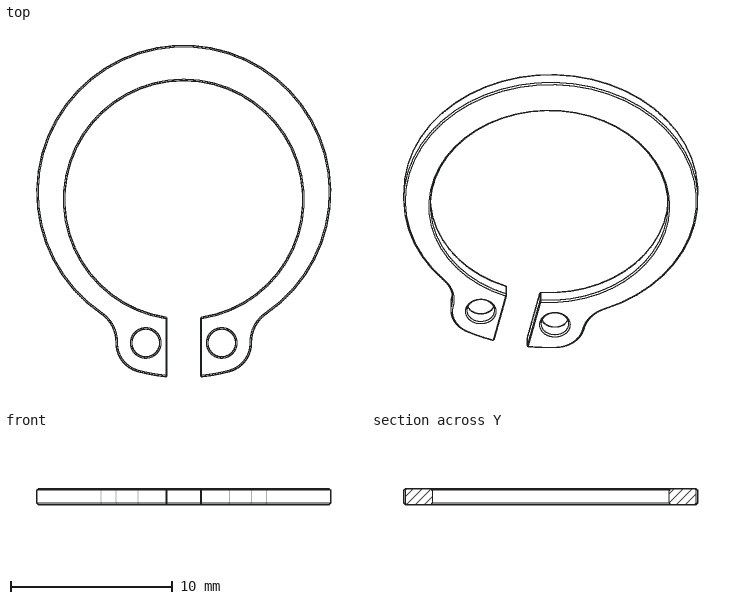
import cadquery as cq
import math

thickness = 1.0
bore_radius = 14.7 / 2
rim_radius = 18.2 / 2
widest_band = 2.2
rim_centre_y = bore_radius + widest_band - rim_radius

gap_width = 2.1
lug_tip_radius = 11.025
hole_diameter = 1.7
hole_x = 2.35
lug_corner_radius = 1.85
neck_radius = 2.1
hole_orbit_radius = lug_tip_radius - lug_corner_radius
hole_y = -math.sqrt(hole_orbit_radius**2 - hole_x**2)

edge_chamfer = 0.1
gap_edge_chamfer = 0.06


def point_towards(start, target, distance):
    """Point at a given distance from start on the line to target."""
    fraction = distance / math.dist(start, target)
    return (
        start[0] + fraction * (target[0] - start[0]),
        start[1] + fraction * (target[1] - start[1]),
    )


def neck_centre(rim_centre, lug_centre):
    """Centre of the concave neck arc that touches both the rim and the lug corner."""
    to_rim = rim_radius + neck_radius
    to_lug = lug_corner_radius + neck_radius
    span = math.dist(rim_centre, lug_centre)
    along = (to_rim**2 - to_lug**2 + span**2) / (2 * span)
    across = math.sqrt(to_rim**2 - along**2)
    foot_x, foot_y = point_towards(rim_centre, lug_centre, along)
    unit_x = (lug_centre[0] - rim_centre[0]) / span
    unit_y = (lug_centre[1] - rim_centre[1]) / span
    return (foot_x - across * unit_y, foot_y + across * unit_x)


def point_below(radius, x):
    """Point at the given x on the lower half of a circle about the origin."""
    return (x, -math.sqrt(radius**2 - x**2))


def mirrored(point):
    return (-point[0], point[1])


def arc_middle(centre, radius, start, end):
    """Middle of the shorter arc between two points of a circle."""
    chord_middle = ((start[0] + end[0]) / 2, (start[1] + end[1]) / 2)
    return point_towards(centre, chord_middle, radius)


def ring_outline():
    """Closed outline, from the right end of the bore round both lugs and the rim."""
    origin = (0, 0)
    rim_centre = (0, rim_centre_y)
    lug_centre = (hole_x, hole_y)
    neck = neck_centre(rim_centre, lug_centre)

    bore_end = point_below(bore_radius, gap_width / 2)
    lug_tip = point_below(lug_tip_radius, gap_width / 2)
    corner_start = point_towards(origin, lug_centre, lug_tip_radius)
    corner_end = point_towards(lug_centre, neck, lug_corner_radius)
    rim_end = point_towards(rim_centre, neck, rim_radius)

    tip_middle = arc_middle(origin, lug_tip_radius, lug_tip, corner_start)
    corner_middle = arc_middle(lug_centre, lug_corner_radius, corner_start, corner_end)
    neck_middle = arc_middle(neck, neck_radius, corner_end, rim_end)

    return (
        cq.Workplane("XY")
        .moveTo(*bore_end)
        .lineTo(*lug_tip)
        .threePointArc(tip_middle, corner_start)
        .threePointArc(corner_middle, corner_end)
        .threePointArc(neck_middle, rim_end)
        .threePointArc((0, rim_centre_y + rim_radius), mirrored(rim_end))
        .threePointArc(mirrored(neck_middle), mirrored(corner_end))
        .threePointArc(mirrored(corner_middle), mirrored(corner_start))
        .threePointArc(mirrored(tip_middle), mirrored(lug_tip))
        .lineTo(*mirrored(bore_end))
        .threePointArc((0, bore_radius), bore_end)
        .close()
    )


def drill_plier_holes(ring):
    return (
        ring.faces(">Z")
        .workplane(origin=(0, 0, thickness))
        .pushPoints([(hole_x, hole_y), (-hole_x, hole_y)])
        .hole(hole_diameter)
    )


ring = ring_outline().extrude(thickness)
ring = drill_plier_holes(ring)

ring = ring.faces("<Z or >Z").edges("not |Y").chamfer(edge_chamfer)

result = ring.faces("|X").edges().chamfer(gap_edge_chamfer)